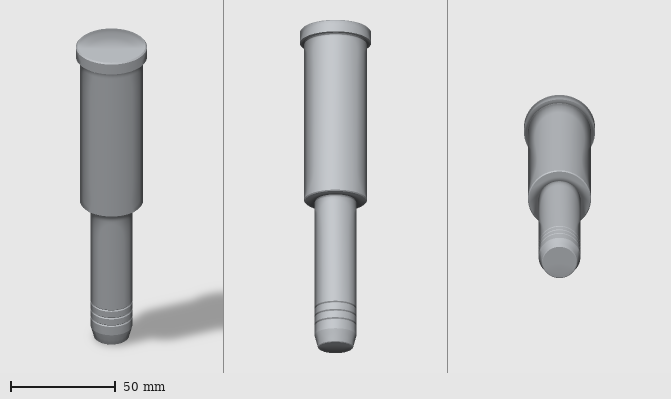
import cadquery as cq

total_length = 160.0
head_height = 6.0
body_bottom = 74.0
tip_height = 6.2

head_radius = 34.0 / 2
body_radius = 30.0 / 2
pin_radius = 20.0 / 2
tip_end_radius = 8.3

head_chamfer = 0.6
body_chamfer = 0.5
tip_chamfer = 0.3
head_relief_depth = 0.5
pin_relief_width = 1.0
pin_relief_depth = 0.3

groove_count = 3
groove_pitch = 4.2
lowest_groove_center = 11.4
groove_depth = 0.5

head_bottom = total_length - head_height


def cylinder(radius, bottom, top):
    return cq.Workplane("XY").workplane(offset=bottom).circle(radius).extrude(top - bottom)


def cut_square_groove(part, radius, depth, bottom, width):
    """Cut a flat-bottomed groove around a cylinder of the given radius."""
    top = bottom + width
    outside = cylinder(radius + depth, bottom, top)
    return part.cut(outside.cut(cylinder(radius - depth, bottom, top)))


def cut_vee_groove(part, radius, depth, center_height):
    """Cut a groove with two 45-degree flanks around a cylinder of the given radius."""
    section = (
        cq.Workplane("XZ")
        .moveTo(radius, center_height - depth)
        .lineTo(radius - depth, center_height)
        .lineTo(radius, center_height + depth)
        .close()
    )
    return part.cut(section.revolve(360, (0, 0, 0), (0, 1, 0)))


def make_pin():
    """Slim pin whose lower end tapers to a chamfered tip."""
    profile = (
        cq.Workplane("XZ")
        .moveTo(0, body_bottom)
        .lineTo(pin_radius, body_bottom)
        .lineTo(pin_radius, tip_height)
        .lineTo(tip_end_radius, 0)
        .lineTo(0, 0)
        .close()
    )
    pin = profile.revolve(360, (0, 0, 0), (0, 1, 0))
    return pin.faces("<Z").edges().chamfer(tip_chamfer)


def make_head():
    return cylinder(head_radius, head_bottom, total_length).faces(">Z").edges().chamfer(head_chamfer)


def make_body():
    return cylinder(body_radius, body_bottom, head_bottom).faces("<Z").edges().chamfer(body_chamfer)


result = make_pin().union(make_body()).union(make_head())

result = cut_vee_groove(result, body_radius, head_relief_depth, head_bottom - head_relief_depth)
pin_relief_bottom = body_bottom - pin_relief_width
result = cut_square_groove(result, pin_radius, pin_relief_depth, pin_relief_bottom, pin_relief_width)

for index in range(groove_count):
    groove_center = lowest_groove_center + index * groove_pitch
    result = cut_vee_groove(result, pin_radius, groove_depth, groove_center)